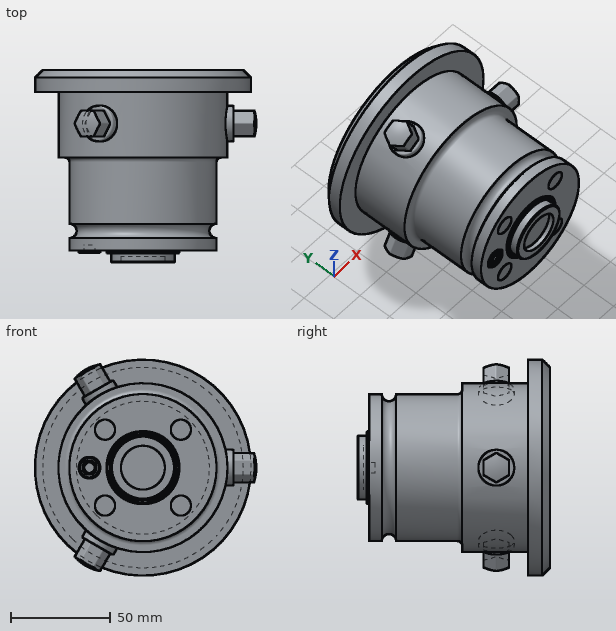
import cadquery as cq
import math


overall_width = 111.7
flange_diameter = 108.9
flange_radius = flange_diameter / 2
flange_thickness = 11.2
flange_chamfer = 3.9
barrel_radius = 42.6
barrel_end = 44.2
neck_radius = 37.1
neck_end = 91.0
neck_fillet = 2.2
groove_center = 81.1
groove_radius = 3.6

hub_radius = 16.1
hub_end = 97.0
hub_chamfer = 0.5
hub_recess_radius = 11.1
hub_recess_depth = 3.0
collar_radius = 18.4
collar_bore_radius = hub_radius
collar_height = 1.3
collar_bevel = 0.61

screw_offset = 26.9
screw_radius = 5.5
screw_height = 1.1
screw_bevel = 0.6
screw_bore_radius = 3.0
socket_radius = 2.7
socket_depth = 2.8

plug_diameter = 10.2
plug_spacing = 38.2
plug_sink = 0.1

bolt_count = 3
bolt_setback = 27.0
bolt_tip = overall_width - flange_radius
washer_radius = 9.0
washer_top = 45.7
washer_fillet = 0.8
bolt_embed = 2.2
bolt_root = barrel_radius - bolt_embed
hex_sides = 6
hex_flats = 13.0
hex_corner_fillet = 0.8
dome_radius = 21.2


def disc(radius, start, end):
    """Cylinder on the part's axis between two distances from the flange's back face."""
    return cq.Workplane("XZ", origin=(0, -start, 0)).circle(radius).extrude(end - start)


def turned_body():
    """Flange, barrel and grooved neck as one revolved outline."""
    fillet_middle = neck_fillet * (1 - math.sqrt(0.5))
    outline = (
        cq.Workplane("XY")
        .lineTo(flange_radius - flange_chamfer, 0)
        .lineTo(flange_radius, -flange_chamfer)
        .lineTo(flange_radius, -flange_thickness)
        .lineTo(barrel_radius, -flange_thickness)
        .lineTo(barrel_radius, -barrel_end)
        .lineTo(neck_radius + neck_fillet, -barrel_end)
        .threePointArc(
            (neck_radius + fillet_middle, -barrel_end - fillet_middle),
            (neck_radius, -barrel_end - neck_fillet),
        )
        .lineTo(neck_radius, -groove_center + groove_radius)
        .threePointArc(
            (neck_radius - groove_radius, -groove_center),
            (neck_radius, -groove_center - groove_radius),
        )
        .lineTo(neck_radius, -neck_end)
        .lineTo(0, -neck_end)
        .close()
    )
    return outline.revolve(360, (0, 0, 0), (0, 1, 0))


def beveled_ring(outer, bore, height, bevel):
    """Ring on the front face: pointed outer rim, flat top and a bevel into the bore."""
    base = -neck_end
    top = base - height
    outline = (
        cq.Workplane("XY")
        .moveTo(bore, base)
        .lineTo(outer - bevel, base)
        .lineTo(outer, base - height / 2)
        .lineTo(outer - bevel, top)
        .lineTo(bore + bevel, top)
        .lineTo(bore, top + bevel)
        .close()
    )
    return outline.revolve(360, (0, 0, 0), (0, 1, 0))


def hub():
    """Hub with a chamfered rim and a round recess in its end."""
    post = disc(hub_radius, neck_end, hub_end).faces("<Y").chamfer(hub_chamfer)
    return post.cut(disc(hub_recess_radius, hub_end - hub_recess_depth, hub_end))


def bolt():
    """Domed hexagonal bolt with a round washer, pointing along +X."""
    section = cq.Workplane("YZ", origin=(bolt_root, -bolt_setback, 0))
    washer = section.circle(washer_radius).extrude(washer_top - bolt_root)
    washer = washer.faces(">X").edges().fillet(washer_fillet)
    hex_corners = hex_flats / math.cos(math.pi / hex_sides)
    shank = (
        section.transformed(rotate=(0, 0, 90))
        .polygon(hex_sides, hex_corners)
        .extrude(bolt_tip - bolt_root)
        .edges("|X")
        .fillet(hex_corner_fillet)
    )
    dome = cq.Workplane("XY").sphere(dome_radius).translate((bolt_tip - dome_radius, -bolt_setback, 0))
    return washer.union(shank.intersect(dome))


result = turned_body().union(hub())
result = result.union(beveled_ring(collar_radius, collar_bore_radius, collar_height, collar_bevel))

screw = beveled_ring(screw_radius, screw_bore_radius, screw_height, screw_bevel)
socket = disc(socket_radius, neck_end - socket_depth, neck_end)
result = result.union(screw.translate((-screw_offset, 0, 0)))
result = result.cut(socket.translate((-screw_offset, 0, 0)))

plugs = (
    cq.Workplane("XZ", origin=(0, plug_sink - neck_end, 0))
    .rect(plug_spacing, plug_spacing, forConstruction=True)
    .vertices()
    .circle(plug_diameter / 2)
    .extrude(plug_sink)
)
result = result.cut(plugs)

for index in range(bolt_count):
    angle = index * 360 / bolt_count
    result = result.union(bolt().rotate((0, 0, 0), (0, 1, 0), angle))